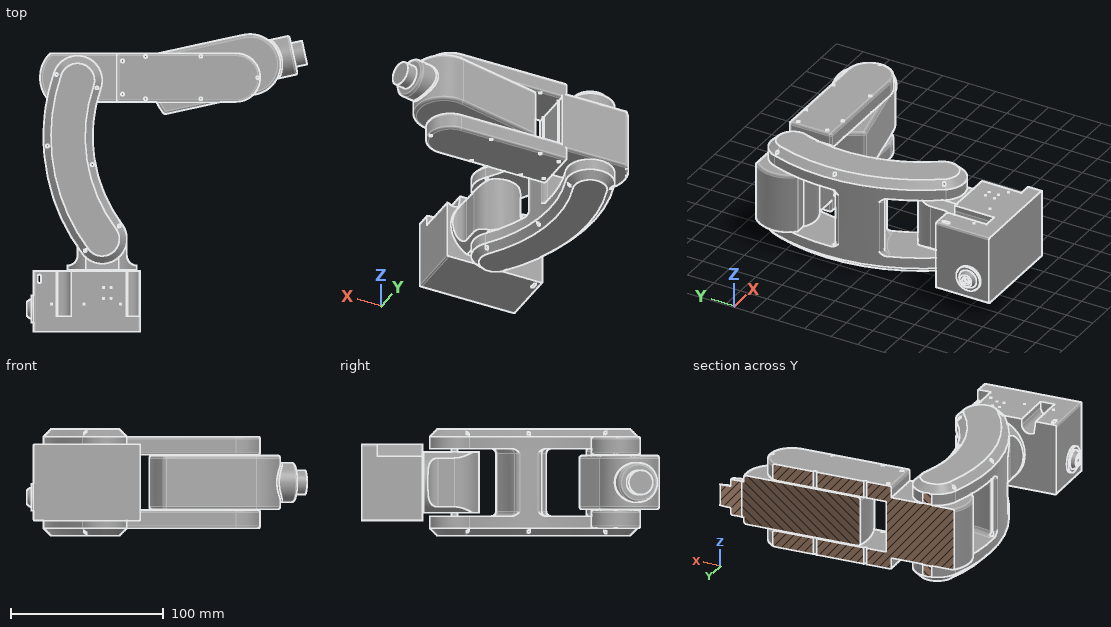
import cadquery as cq
import math


base_length = 70
base_height = 40
base_depth = 50
base_left = -45
base_right = base_left + base_length
base_edge_radius = 1
groove_width = 10
groove_radius = 5.6
groove_lean = 1.2
groove_wall_height = 4
rim_relief_width = 0.9
groove_length = 29.7
groove_lefts = (-30.2, 15.6)
key_slot_center = (-41.1, -5.3)
key_slot_length = 5.5
key_slot_width = 2
pilot_diameter = 1
pilot_depth = 5
pilot_row_x = (-33.1, -12, 12.1)
pilot_row_y = -21.9
pilot_square_x = (0.9, 5.9)
pilot_square_y = (-18, -11)

screw_y = -25
screw_z = -9.75
screw_shank_diameter = 8
screw_shank_length = 16
screw_flange_diameter = 17.8
screw_flange_thickness = 1.5
screw_head_height = 4.4
screw_dome_base_radius = 6.5
screw_dome_radius = 5
screw_dome_top_diameter = 8.8
screw_socket_corner_diameter = 6
screw_socket_depth = 2.6
screw_socket_tip_radius = 2
screw_socket_tip_depth = 1.2

waist_radius = 22.75
waist_clearance = 0.5
turret_half_depth = 20
shoulder_y = 20.8
turret_tongue_radius = 16.2
turret_cove_radius = waist_radius - turret_tongue_radius
turret_cove_top = 10
shoulder_pin_diameter = 4
shoulder_pin_half_length = 27

arm_half_width = 16.2
arm_half_depth = 35
arm_chamfer = 5
cheek_gap_half = 22
elbow_x = -16.2
elbow_y = 124.5
arm_bend_radius = 112
elbow_clearance_radius = 47.2
shoulder_clearance_radius = 39.4
column_fillet = 3
window_margin = 20
window_length = 90
arm_hole_diameter = 2
arm_holes = ((-30, 128.4), (-3.4, 119.6), (-35.9, 81.7), (-6.5, 69.4), (11.2, 29.4), (-11.1, 13.2))

forearm_y = 126.4
forearm_half_width = 16
forearm_fillet = 1.5
barrel_corner_radius = 1
barrel_radius = 22
barrel_center_x = -18.8
elbow_boss_radius = 17.6
fork_start = 9.4
fork_slot_start = 13.5
fork_end_center_x = 87.4
fork_half_depth = 30
fork_slot_half = 18
forearm_hole_diameter = 2
forearm_hole_offsets = ((13.3, 10.9), (28.4, 13.9), (64.5, 13.9))
forearm_tip_hole_x = 101.7

hand_center = (96.6, 134.94)
hand_angle = 12.3
hand_half_width = 20
hand_half_depth = 17.7
hand_fillet = 2
hand_back_length = 66.4
hand_back_radius = 45
hand_collar_radius = 21.3

wrist_diameter = 26
wrist_end = 29.3
wrist_fillet = 1.5
tool_diameter = 16
tool_end = 36.73


def upright(profile, half_depth):
    """Extrude a closed profile in the XY plane evenly to both sides of it."""
    return profile.extrude(half_depth, both=True)


def make_base():
    block = (
        cq.Workplane("XY")
        .box(base_length, base_height, base_depth)
        .edges("|Y")
        .fillet(base_edge_radius)
        .translate((base_left + base_length / 2, -base_height / 2, 0))
    )
    top = base_depth / 2
    for left in groove_lefts:
        block = block.cut(make_groove(left))
    block = block.cut(make_rim_relief())
    pilots = [(x, pilot_row_y) for x in pilot_row_x]
    pilots += [(x, y) for x in pilot_square_x for y in pilot_square_y]
    block = block.cut(
        cq.Workplane("XY", origin=(0, 0, top - pilot_depth))
        .pushPoints(pilots)
        .circle(pilot_diameter / 2)
        .extrude(pilot_depth)
    )
    key_slot = upright(
        cq.Workplane("XY").center(*key_slot_center).slot2D(key_slot_length, key_slot_width, 90), base_depth
    )
    return block.cut(key_slot).cut(make_screw_shank())


def make_groove(left):
    """Scooped groove along Y, open at the top end of the base.

    Its left wall leans a little; its round floor rises to a plumb right wall.
    """
    top = base_depth / 2
    right = left + groove_width
    arc_x = right - groove_radius
    arc_z = top - groove_wall_height
    floor_start = left + groove_lean
    profile = (
        cq.Workplane("XZ")
        .moveTo(left, top)
        .lineTo(floor_start, arc_z - groove_drop(arc_x - floor_start))
        .threePointArc((arc_x, arc_z - groove_radius), (right, arc_z))
        .lineTo(right, top)
        .close()
    )
    return profile.extrude(groove_length)


def groove_drop(offset):
    """Drop of the round groove floor below its center, at a sideways offset from that center."""
    return math.sqrt(groove_radius**2 - offset**2)


def make_rim_relief():
    """Flat left where the right-hand groove breaks out through the side of the base."""
    arc_x = groove_lefts[1] + groove_width - groove_radius
    flat_left = base_right - rim_relief_width
    depth = groove_wall_height + groove_drop(flat_left - arc_x)
    relief = cq.Workplane("XY").box(rim_relief_width, groove_length, depth, centered=False)
    return relief.translate((flat_left, -groove_length, base_depth / 2 - depth))


def make_screw_shank():
    return (
        cq.Workplane("YZ", origin=(base_left, screw_y, screw_z))
        .circle(screw_shank_diameter / 2)
        .extrude(screw_shank_length)
    )


def make_screw():
    dome_top_radius = screw_dome_top_diameter / 2
    head = (
        cq.Workplane("XY")
        .lineTo(screw_flange_diameter / 2, 0)
        .lineTo(screw_flange_diameter / 2, screw_flange_thickness)
        .lineTo(screw_dome_base_radius, screw_flange_thickness)
        .radiusArc((dome_top_radius, screw_head_height), -screw_dome_radius)
        .lineTo(0, screw_head_height)
        .close()
        .revolve(360, (0, 0, 0), (0, 1, 0))
        .rotate((0, 0, 0), (0, 0, 1), 90)
        .translate((base_left, screw_y, screw_z))
    )
    socket = (
        cq.Workplane("YZ", origin=(base_left - screw_head_height, screw_y, screw_z))
        .polygon(6, screw_socket_corner_diameter)
        .extrude(screw_socket_depth)
    )
    drill_tip = cq.Solid.makeCone(
        screw_socket_tip_radius,
        0,
        screw_socket_tip_depth,
        cq.Vector(base_left - screw_head_height + screw_socket_depth, screw_y, screw_z),
        cq.Vector(1, 0, 0),
    )
    return head.union(make_screw_shank()).cut(socket).cut(cq.Workplane(drill_tip))


def make_shoulder_pin():
    return upright(
        cq.Workplane("XY").center(0, shoulder_y).circle(shoulder_pin_diameter / 2), shoulder_pin_half_length
    )


def make_turret():
    """Round waist post trimmed to a flat-sided tongue, with coves down to the flange."""
    post_height = shoulder_y + turret_tongue_radius
    post = cq.Workplane("XZ").circle(waist_radius).extrude(-post_height)
    flange_y = turret_cove_top - turret_cove_radius
    silhouette = upright(
        cq.Workplane("XY")
        .moveTo(-waist_radius, waist_clearance)
        .lineTo(waist_radius, waist_clearance)
        .lineTo(waist_radius, flange_y)
        .radiusArc((turret_tongue_radius, turret_cove_top), turret_cove_radius)
        .lineTo(turret_tongue_radius, shoulder_y)
        .threePointArc((0, post_height), (-turret_tongue_radius, shoulder_y))
        .lineTo(-turret_tongue_radius, turret_cove_top)
        .radiusArc((-waist_radius, flange_y), turret_cove_radius)
        .close(),
        turret_half_depth,
    )
    return post.intersect(silhouette).union(make_shoulder_pin())


reach = math.hypot(elbow_x, elbow_y - shoulder_y)
bend_offset = math.sqrt(arm_bend_radius**2 - (reach / 2) ** 2)
bend_x = elbow_x / 2 + bend_offset * (elbow_y - shoulder_y) / reach
bend_y = (elbow_y + shoulder_y) / 2 - bend_offset * elbow_x / reach
arm_outer_radius = arm_bend_radius + arm_half_width
arm_inner_radius = arm_bend_radius - arm_half_width


def bend_point(radius, angle):
    """Point at a distance from the bend center; the angle is counted from -X down toward -Y."""
    turn = math.radians(angle)
    return (bend_x - radius * math.cos(turn), bend_y - radius * math.sin(turn))


def make_arm():
    shoulder_angle = math.degrees(math.asin((bend_y - shoulder_y) / arm_bend_radius))
    elbow_angle = math.degrees(math.asin((bend_y - elbow_y) / arm_bend_radius))
    middle_angle = (shoulder_angle + elbow_angle) / 2
    arm = upright(
        cq.Workplane("XY")
        .moveTo(*bend_point(arm_outer_radius, elbow_angle))
        .threePointArc(
            bend_point(arm_outer_radius, middle_angle), bend_point(arm_outer_radius, shoulder_angle)
        )
        .radiusArc(bend_point(arm_inner_radius, shoulder_angle), -arm_half_width)
        .threePointArc(
            bend_point(arm_inner_radius, middle_angle), bend_point(arm_inner_radius, elbow_angle)
        )
        .radiusArc(bend_point(arm_outer_radius, elbow_angle), -arm_half_width)
        .close(),
        arm_half_depth,
    )
    arm = arm.faces(">Z or <Z").chamfer(arm_chamfer)
    arm = arm.cut(make_window((0, shoulder_y), shoulder_clearance_radius, 1))
    arm = arm.cut(make_window((elbow_x, elbow_y), elbow_clearance_radius, -1))
    holes = upright(cq.Workplane("XY").pushPoints(arm_holes).circle(arm_hole_diameter / 2), arm_half_depth)
    return arm.cut(holes).cut(make_shoulder_pin())


def step_toward(start, target, distance):
    """Point at a distance from start on the ray to target."""
    scale = distance / math.dist(start, target)
    return (start[0] + scale * (target[0] - start[0]), start[1] + scale * (target[1] - start[1]))


def corner_center(axis, axis_distance, bend_distance, side):
    """Center of a column corner round, given its distances from a hinge axis and the bend center."""
    spacing = math.dist(axis, (bend_x, bend_y))
    cosine = (bend_distance**2 + spacing**2 - axis_distance**2) / (2 * bend_distance * spacing)
    axis_angle = math.degrees(math.asin((bend_y - axis[1]) / spacing))
    return bend_point(bend_distance, axis_angle - side * math.degrees(math.acos(cosine)))


def make_window(axis, radius, side):
    """Space between the cheeks around one hinge; side is 1 at the shoulder and -1 at the elbow.

    The column ends in a hollow face concentric with the hinge. The profile rounds the corners of
    that face, and the fillet blends its foot into the cheeks.
    """
    bend_center = (bend_x, bend_y)
    corner = column_fillet
    outer_corner = corner_center(axis, radius + corner, arm_outer_radius - corner, side)
    inner_corner = corner_center(axis, radius + corner, arm_inner_radius + corner, side)
    outer_face_end = step_toward(axis, outer_corner, radius)
    inner_face_end = step_toward(axis, inner_corner, radius)
    outer_edge = step_toward(bend_center, outer_corner, arm_outer_radius)
    inner_edge = step_toward(bend_center, inner_corner, arm_inner_radius)
    outside = step_toward(bend_center, outer_edge, arm_outer_radius + window_margin)
    inside = step_toward(bend_center, inner_edge, arm_inner_radius - 2 * window_margin)
    window = upright(
        cq.Workplane("XY")
        .moveTo(*outer_face_end)
        .radiusArc(inner_face_end, side * radius)
        .radiusArc(inner_edge, -side * corner)
        .lineTo(*inside)
        .lineTo(inside[0], inside[1] - side * window_length)
        .lineTo(outside[0], outside[1] - side * window_length)
        .lineTo(*outside)
        .lineTo(*outer_edge)
        .radiusArc(outer_face_end, -side * corner)
        .close(),
        cheek_gap_half,
    )
    return window.faces(">Z or <Z").edges().fillet(column_fillet)


def make_forearm():
    low = forearm_y - forearm_half_width
    high = forearm_y + forearm_half_width
    corner_x = barrel_center_x - math.sqrt(barrel_radius**2 - forearm_half_width**2)
    elbow = upright(
        cq.Workplane("XY")
        .moveTo(fork_slot_start, low)
        .lineTo(fork_slot_start, high)
        .lineTo(corner_x, high)
        .threePointArc((barrel_center_x - barrel_radius, forearm_y), (corner_x, low))
        .close(),
        cheek_gap_half,
    )
    elbow = elbow.edges("|Z").edges("<X").fillet(barrel_corner_radius)
    boss = upright(cq.Workplane("XY").center(elbow_x, elbow_y).circle(elbow_boss_radius), cheek_gap_half)
    forearm = elbow.union(boss).faces(">Z or <Z").edges().fillet(forearm_fillet)
    for z in (fork_slot_half, -fork_half_depth):
        forearm = forearm.union(make_fork_plate().translate((0, 0, z)))
    hole_spots = [(x, forearm_y + side * dy) for x, dy in forearm_hole_offsets for side in (1, -1)]
    hole_spots.append((forearm_tip_hole_x, forearm_y))
    holes = upright(
        cq.Workplane("XY").pushPoints(hole_spots).circle(forearm_hole_diameter / 2), fork_half_depth
    )
    return forearm.cut(holes)


def make_fork_plate():
    low = forearm_y - forearm_half_width
    high = forearm_y + forearm_half_width
    plate = (
        cq.Workplane("XY")
        .moveTo(fork_start, low)
        .lineTo(fork_end_center_x, low)
        .threePointArc((fork_end_center_x + forearm_half_width, forearm_y), (fork_end_center_x, high))
        .lineTo(fork_start, high)
        .close()
        .extrude(fork_half_depth - fork_slot_half)
    )
    plate = plate.edges("|Z and <X").fillet(forearm_fillet)
    return plate.faces(">Z or <Z").edges().fillet(forearm_fillet)


def place_on_hand(part):
    """Move a part built along +X about the origin onto the tilted hand axis."""
    return part.rotate((0, 0, 0), (0, 0, 1), hand_angle).translate((*hand_center, 0))


def make_hand():
    back_center = hand_back_radius - hand_back_length
    back_corner = back_center - math.sqrt(hand_back_radius**2 - hand_half_width**2)
    hand = upright(
        cq.Workplane("XY")
        .moveTo(0, hand_half_width)
        .threePointArc((hand_half_width, 0), (0, -hand_half_width))
        .lineTo(back_corner, -hand_half_width)
        .threePointArc((-hand_back_length, 0), (back_corner, hand_half_width))
        .close(),
        hand_half_depth,
    )
    hand = hand.edges("|Z").edges("<X").fillet(hand_fillet)
    hand = hand.faces(">Z or <Z").edges().fillet(hand_fillet)
    collar = make_wrist_rod(wrist_diameter, wrist_end).intersect(make_wrist_seat())
    return place_on_hand(hand.union(collar))


def make_wrist_rod(diameter, length):
    return cq.Workplane("YZ").circle(diameter / 2).extrude(length)


def make_wrist_seat():
    """Round seat, concentric with the nose of the hand, on which the wrist roll unit rests."""
    return upright(cq.Workplane("XY").circle(hand_collar_radius), hand_half_depth)


def make_wrist():
    barrel = make_wrist_rod(wrist_diameter, wrist_end).faces(">X").edges().fillet(wrist_fillet)
    stub = make_wrist_rod(tool_diameter, tool_end)
    return place_on_hand(barrel.union(stub).cut(make_wrist_seat()))


base = make_base()
screw = make_screw()
turret = make_turret()
arm = make_arm()
forearm = make_forearm()
hand = make_hand()
wrist = make_wrist()

result = cq.Compound.makeCompound(
    [body.solids().val() for body in (base, screw, turret, arm, forearm, hand, wrist)]
)